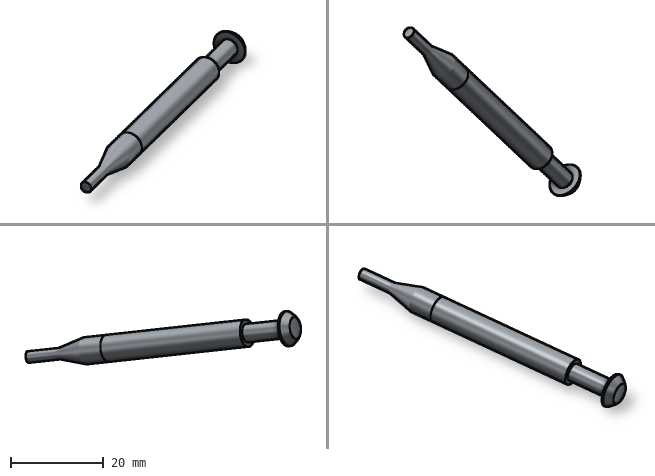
import cadquery as cq

total_length = 67.5

tip_length = 7.95
cone_length = 6.55
nose_length = 20.0
head_length = 2.1
rim_thickness = 0.4
shaft_length = 10.1
barrel_length = total_length - nose_length - shaft_length - head_length

tip_radius = 1.3
body_radius = 3.0
shaft_radius = 2.0
rim_radius = 3.815
crown_radius = 2.35

dome_bulge = 0.1

nose_start = -total_length / 2
cone_start = nose_start + tip_length
cone_end = cone_start + cone_length
barrel_start = nose_start + nose_length
shaft_start = barrel_start + barrel_length
head_start = shaft_start + shaft_length
rim_end = head_start + rim_thickness
head_end = head_start + head_length


def revolve_about_y(profile):
    """Turn a closed half profile, drawn as (radius, y), around the Y axis."""
    return profile.close().revolve(360, (0, 0, 0), (0, 1, 0))


def make_nose():
    """Slim tip, cone and a collar flush with the barrel."""
    return revolve_about_y(
        cq.Workplane("XY")
        .moveTo(0, nose_start)
        .lineTo(tip_radius, nose_start)
        .lineTo(tip_radius, cone_start)
        .lineTo(body_radius, cone_end)
        .lineTo(body_radius, barrel_start)
        .lineTo(0, barrel_start)
    )


def make_barrel():
    """Plain cylinder between the nose and the plunger."""
    return revolve_about_y(
        cq.Workplane("XY")
        .moveTo(0, barrel_start)
        .lineTo(body_radius, barrel_start)
        .lineTo(body_radius, shaft_start)
        .lineTo(0, shaft_start)
    )


def make_plunger():
    """Shaft with a thin-rimmed, domed head that ends in a flat crown."""
    flank_middle = (
        (rim_radius + crown_radius) / 2 + dome_bulge,
        (rim_end + head_end) / 2 + dome_bulge,
    )
    return revolve_about_y(
        cq.Workplane("XY")
        .moveTo(0, shaft_start)
        .lineTo(shaft_radius, shaft_start)
        .lineTo(shaft_radius, head_start)
        .lineTo(rim_radius, head_start)
        .lineTo(rim_radius, rim_end)
        .threePointArc(flank_middle, (crown_radius, head_end))
        .lineTo(0, head_end)
    )


nose = make_nose()
barrel = make_barrel()
plunger = make_plunger()

result = cq.Compound.makeCompound([nose.val(), barrel.val(), plunger.val()])